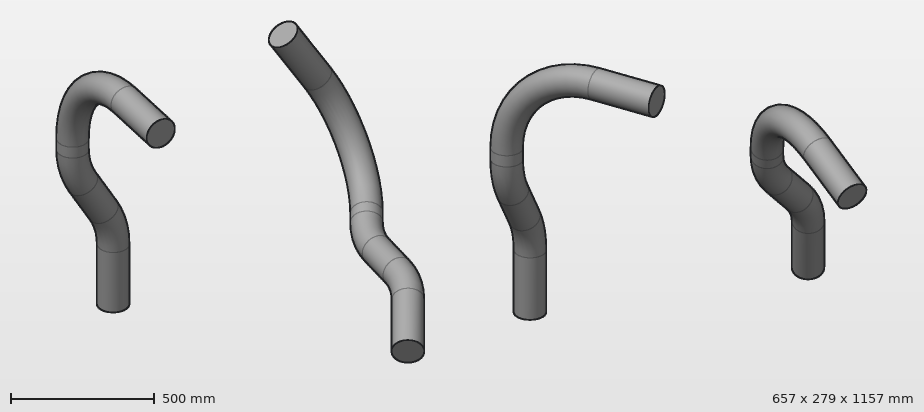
import cadquery as cq
import math

length_x = 657.0
width_y = 279.0
height_z = 1157.0
rod_diameter = 115.0
elbow_radius = 356.0
neck_length = 45.0
offset_radius = 304.0
offset_angle = math.radians(30)

rod_radius = rod_diameter / 2
arm_length = length_x - rod_radius - elbow_radius
offset_y = width_y - rod_diameter
bend_rise = offset_radius * math.sin(offset_angle)
bend_shift = offset_radius * (1 - math.cos(offset_angle))
slope_shift = offset_y - 2 * bend_shift
slope_rise = slope_shift / math.tan(offset_angle)

arm_z = height_z - rod_radius
elbow_z = arm_z - elbow_radius
offset_top_z = elbow_z - neck_length
slope_top_z = offset_top_z - bend_rise
slope_bottom_z = slope_top_z - slope_rise
leg_top_z = slope_bottom_z - bend_rise


def line(start, end):
    return cq.Edge.makeLine(cq.Vector(*start), cq.Vector(*end))


def tangent_arc(start, direction, end):
    return cq.Edge.makeTangentArc(cq.Vector(*start), cq.Vector(*direction), cq.Vector(*end))


leg_bottom = (0, offset_y, 0)
leg_top = (0, offset_y, leg_top_z)
slope_bottom = (0, offset_y - bend_shift, slope_bottom_z)
slope_top = (0, bend_shift, slope_top_z)
offset_top = (0, 0, offset_top_z)
elbow_start = (0, 0, elbow_z)
elbow_end = (elbow_radius, 0, arm_z)
arm_end = (elbow_radius + arm_length, 0, arm_z)

up = (0, 0, 1)
slope = (0, -math.sin(offset_angle), math.cos(offset_angle))

centreline = cq.Wire.assembleEdges([
    line(leg_bottom, leg_top),
    tangent_arc(leg_top, up, slope_bottom),
    line(slope_bottom, slope_top),
    tangent_arc(slope_top, slope, offset_top),
    line(offset_top, elbow_start),
    tangent_arc(elbow_start, up, elbow_end),
    line(elbow_end, arm_end),
])

result = cq.Workplane("XY", origin=leg_bottom).circle(rod_radius).sweep(cq.Workplane(centreline))